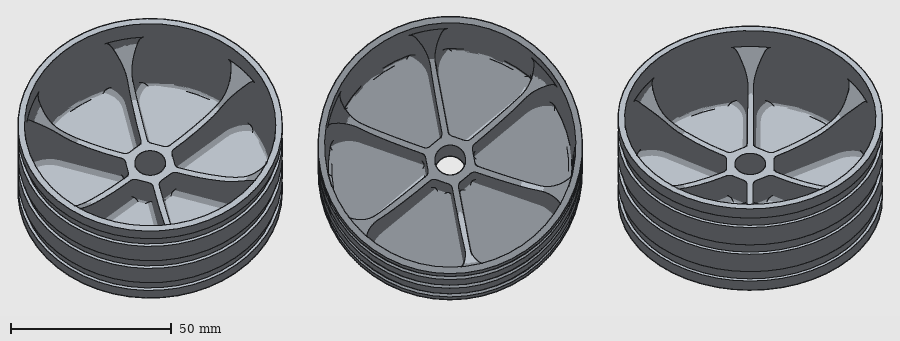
import cadquery as cq
import math

outer_radius = 41.1
width = 35.0
rim_thickness = 2.05
floor_thickness = 5.0
draft_angle = 2.4

groove_width = 4.0
groove_depth = 1.0
groove_pitch = 11.5

bore_radius = 4.8
hub_height = 15.05
hub_flat_radius = 9.8

ridge_bend_radius = 23.6
ridge_bend_height = 16.6
ridge_end_height = 28.45

spoke_count = 6
spoke_half_width = 1.4
flare_start_radius = 29.5
flare_arc_radius = 10.0
flare_sweep = 75.0
hub_face_distance = 7.8

spoke_foot_fillet = 2.5
hub_corner_fillet = 2.0
rim_corner_fillet = 2.5
floor_fillet = 1.0

cavity_height = width - floor_thickness
draft_slope = math.tan(math.radians(draft_angle))
spoke_spacing = 360.0 / spoke_count
half_spacing = math.radians(spoke_spacing / 2)
axis_start = (0, 0, 0)
axis_end = (0, 0, 1)


def rim_inner_radius(height):
    """Radius of the drafted inside of the rim at a height above the base."""
    return outer_radius - rim_thickness - (width - height) * draft_slope


def mirrored(point):
    return point[0], -point[1]


def flare_point(sweep):
    """Point on the flare of a spoke, turned by sweep degrees from the tangent start of its arc.

    The spoke is the one on the +Y side of the pocket centred on +X.
    """
    angle = math.radians(sweep)
    along = flare_start_radius + flare_arc_radius * math.sin(angle)
    across = spoke_half_width + flare_arc_radius * (1 - math.cos(angle))
    x = along * math.cos(half_spacing) + across * math.sin(half_spacing)
    y = along * math.sin(half_spacing) - across * math.cos(half_spacing)
    return x, y


def make_blank():
    """Solid grooved cylinder with the bore."""
    blank = cq.Workplane("XY").circle(outer_radius).circle(bore_radius).extrude(width)
    for step in (-1, 0, 1):
        groove_bottom = width / 2 + step * groove_pitch - groove_width / 2
        groove = (
            cq.Workplane("XY", origin=(0, 0, groove_bottom))
            .circle(outer_radius)
            .circle(outer_radius - groove_depth)
            .extrude(groove_width)
        )
        blank = blank.cut(groove)
    return blank


def make_bowl():
    """Revolved space above the hub and the spoke ridges."""
    return (
        cq.Workplane("XZ")
        .moveTo(0, hub_height)
        .lineTo(hub_flat_radius, hub_height)
        .tangentArcPoint((ridge_bend_radius, ridge_bend_height), relative=False)
        .tangentArcPoint((rim_inner_radius(ridge_end_height), ridge_end_height), relative=False)
        .lineTo(rim_inner_radius(width), width)
        .lineTo(0, width)
        .close()
        .revolve(360, axis_start, (0, 1, 0))
    )


def make_cavity_cone():
    """Drafted space inside the rim, from the floor to the top."""
    return (
        cq.Workplane("XZ")
        .moveTo(0, floor_thickness)
        .lineTo(rim_inner_radius(floor_thickness), floor_thickness)
        .lineTo(rim_inner_radius(width), width)
        .lineTo(0, width)
        .close()
        .revolve(360, axis_start, (0, 1, 0))
    )


def make_hub_side():
    """Block on the pocket's side of the drafted flat face of the hub."""
    return (
        cq.Workplane("XZ")
        .moveTo(hub_face_distance, floor_thickness)
        .lineTo(outer_radius, floor_thickness)
        .lineTo(outer_radius, width)
        .lineTo(hub_face_distance - cavity_height * draft_slope, width)
        .close()
        .extrude(outer_radius, both=True)
    )


def make_sharp_pocket():
    """Drafted pocket centred on +X, bounded by two spokes, the hub and the rim."""
    spoke_meeting = (spoke_half_width / math.sin(half_spacing), 0)
    flare_start = flare_point(0)
    flare_middle = flare_point(flare_sweep / 2)
    flare_end = flare_point(flare_sweep)
    reach = math.hypot(*flare_end)
    between_spokes = (
        cq.Workplane("XY", origin=(0, 0, floor_thickness))
        .moveTo(*spoke_meeting)
        .lineTo(*mirrored(flare_start))
        .threePointArc(mirrored(flare_middle), mirrored(flare_end))
        .threePointArc((reach, 0), flare_end)
        .threePointArc(flare_middle, flare_start)
        .close()
        .extrude(cavity_height, taper=-draft_angle)
    )
    return between_spokes.intersect(make_cavity_cone()).intersect(make_hub_side())


def is_beside_spoke(edge):
    return abs(edge.Center().y) > spoke_half_width


def is_upright(edge):
    return edge.BoundingBox().zlen > cavity_height / 2


def is_hub_corner(edge):
    return is_upright(edge) and edge.Center().x < hub_flat_radius


def is_rim_corner(edge):
    return is_upright(edge) and edge.Center().x > flare_start_radius


def make_pocket():
    """Rounded pocket: what a pocket with wide spoke feet and one with round corners share."""
    sharp = make_sharp_pocket()
    wide_feet = sharp.faces("<Z").edges().filter(is_beside_spoke).fillet(spoke_foot_fillet)
    round_corners = sharp.edges().filter(is_hub_corner).fillet(hub_corner_fillet)
    round_corners = round_corners.edges().filter(is_rim_corner).fillet(rim_corner_fillet)
    round_corners = round_corners.faces("<Z").edges().fillet(floor_fillet)
    return wide_feet.intersect(round_corners)


def make_sector():
    """One pocket with half a spoke on each side, split through the middle of the spokes."""
    half_chord = 2 * outer_radius * math.tan(half_spacing)
    wedge = (
        cq.Workplane("XY")
        .polyline([(0, 0), (2 * outer_radius, -half_chord), (2 * outer_radius, half_chord)])
        .close()
        .extrude(width)
    )
    return make_blank().cut(make_bowl()).cut(make_pocket()).intersect(wedge)


sector = make_sector()
result = sector
for index in range(1, spoke_count):
    result = result.union(sector.rotate(axis_start, axis_end, index * spoke_spacing))